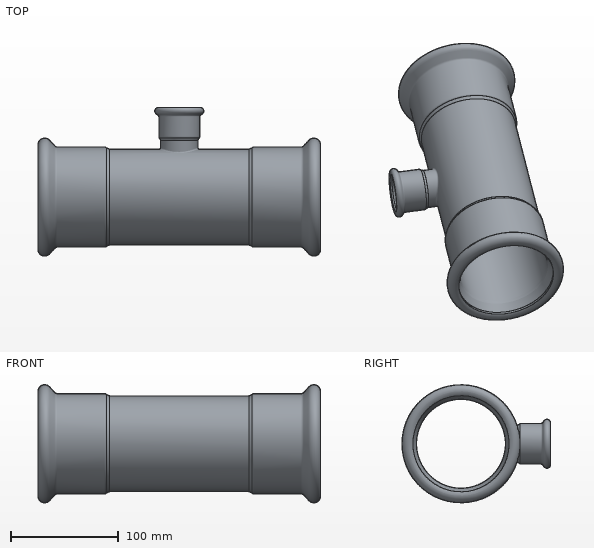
import cadquery as cq
import math

length = 262.0
branch_reach = 83.0

run_end = {
    "pipe_radius": 88.8 / 2,
    "socket_radius": 93.0 / 2,
    "bore_radius": 41.1,
    "socket_end": 63.5,
    "shoulder_length": 3.1,
    "shoulder_rounding": 1.5,
    "bead_section_radius": 6.3,
    "bead_outer_radius": 54.8,
    "bead_cone_angle": 47.0,
    "bead_blend_radius": 3.1,
    "lip_radius": 44.5,
    "lead_in_start": 3.7,
    "seat_radius": 41.5,
    "seat_depth": 11.8,
    "bore_start": 15.2,
}
branch_end = {
    "pipe_radius": 34.8 / 2,
    "socket_radius": 38.0 / 2,
    "bore_radius": 15.7,
    "socket_end": 28.3,
    "shoulder_length": 2.4,
    "shoulder_rounding": 1.0,
    "bead_section_radius": 3.5,
    "bead_outer_radius": 22.8,
    "bead_cone_angle": 55.0,
    "bead_blend_radius": 1.5,
    "lip_radius": 17.3,
    "lead_in_start": 2.4,
    "seat_radius": 16.0,
    "seat_depth": 6.5,
    "bore_start": 7.9,
}

saddle_rounding = 1.3
zone_margin = 2.5


def arm_body(size, arm_length):
    """Solid arm along +X: a beaded end at x = 0, then socket, shoulder and pipe."""
    section = size["bead_section_radius"]
    socket = size["socket_radius"]
    pipe = size["pipe_radius"]
    bead_center = size["bead_outer_radius"] - section
    angle = math.radians(size["bead_cone_angle"])

    lip = size["lip_radius"]
    lip_angle = math.asin((bead_center - lip) / section)
    lip_depth = section * (1 - math.cos(lip_angle))
    lip_middle = (
        section * (1 - math.cos(lip_angle / 2)),
        bead_center - section * math.sin(lip_angle / 2),
    )

    cone_x = section * (1 + math.sin(angle))
    cone_radius = bead_center + section * math.cos(angle)
    blend = size["bead_blend_radius"]
    blend_start_radius = socket + blend * (1 - math.cos(angle))
    blend_start_x = cone_x + (cone_radius - blend_start_radius) / math.tan(angle)
    blend_end_x = blend_start_x + blend * math.sin(angle)
    blend_middle = (
        blend_end_x - blend * math.sin(angle / 2),
        socket + blend * (1 - math.cos(angle / 2)),
    )

    rounding = size["shoulder_rounding"]
    shoulder_start = size["socket_end"]
    shoulder_end = shoulder_start + size["shoulder_length"]

    outline = (
        cq.Workplane("XY")
        .moveTo(lip_depth, 0)
        .lineTo(lip_depth, lip)
        .threePointArc(lip_middle, (0, bead_center))
        .threePointArc(
            (section, size["bead_outer_radius"]),
            (cone_x, cone_radius),
        )
        .lineTo(blend_start_x, blend_start_radius)
        .threePointArc(blend_middle, (blend_end_x, socket))
        .lineTo(shoulder_start - rounding, socket)
        .tangentArcPoint((shoulder_start, socket - rounding / 2), relative=False)
        .lineTo(shoulder_end, pipe)
        .lineTo(arm_length, pipe)
        .lineTo(arm_length, 0)
        .close()
    )
    return outline.revolve(360, (0, 0, 0), (1, 0, 0))


def arm_bore(size, arm_length):
    """Inside of an arm: straight lip, lead-in cone, shallow seat taper and bore."""
    lip = size["lip_radius"]
    bore = size["bore_radius"]
    outline = (
        cq.Workplane("XY")
        .moveTo(0, 0)
        .lineTo(0, lip)
        .lineTo(size["lead_in_start"], lip)
        .lineTo(size["seat_depth"], size["seat_radius"])
        .lineTo(size["bore_start"], bore)
        .lineTo(arm_length, bore)
        .lineTo(arm_length, 0)
        .close()
    )
    return outline.revolve(360, (0, 0, 0), (1, 0, 0))


def place_run(half):
    """Move an arm to the -X end, its surface seam away from the branch, and add its mirror image."""
    left = half.rotate((0, 0, 0), (1, 0, 0), 180).translate((-length / 2, 0, 0))
    return left.union(left.mirror("YZ"))


def place_branch(arm):
    """Turn an arm so its beaded end faces +Y at the branch reach."""
    return arm.rotate((0, 0, 0), (0, 0, 1), -90).translate((0, branch_reach, 0))


run = place_run(arm_body(run_end, length / 2))
branch = place_branch(arm_body(branch_end, branch_reach))
body = run.union(branch)

neck_extent = branch_end["pipe_radius"] + zone_margin
saddle_zone = cq.selectors.BoxSelector(
    (-neck_extent, run_end["pipe_radius"] / 2, -neck_extent),
    (neck_extent, run_end["pipe_radius"] + zone_margin, neck_extent),
    boundingbox=True,
)
body = body.edges(saddle_zone).fillet(saddle_rounding)

body = body.cut(place_run(arm_bore(run_end, length / 2)))
body = body.cut(place_branch(arm_bore(branch_end, branch_reach)))

result = body